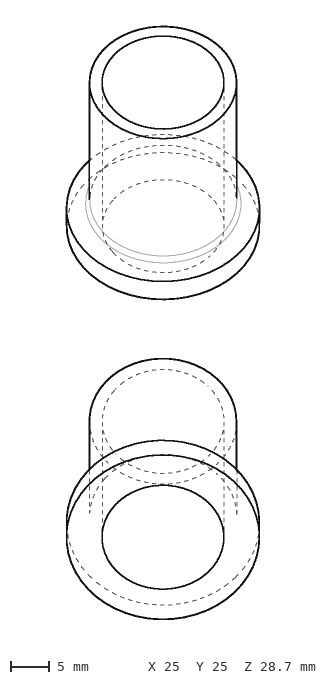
import cadquery as cq
import math

total_height = 28.7
flange_diameter = 25.0
tube_diameter = 19.05
bore_diameter = 15.78
rim_height = 3.62
cone_angle = math.radians(20)
fillet_radius = 0.8

flange_radius = flange_diameter / 2
tube_radius = tube_diameter / 2
bore_radius = bore_diameter / 2


def height_on_cone(radius):
    """Height of the sloped flange top at a given distance from the axis."""
    return rim_height + (flange_radius - radius) * math.tan(cone_angle)


fillet_center_radius = tube_radius + fillet_radius
cone_tangent_radius = fillet_center_radius - fillet_radius * math.sin(cone_angle)
cone_tangent_height = height_on_cone(cone_tangent_radius)
fillet_center_height = cone_tangent_height + fillet_radius * math.cos(cone_angle)

middle_angle = (math.pi / 2 - cone_angle) / 2
fillet_middle = (
    fillet_center_radius - fillet_radius * math.cos(middle_angle),
    fillet_center_height - fillet_radius * math.sin(middle_angle),
)

half_section = (
    cq.Workplane("XZ")
    .moveTo(bore_radius, 0)
    .lineTo(flange_radius, 0)
    .lineTo(flange_radius, rim_height)
    .lineTo(cone_tangent_radius, cone_tangent_height)
    .threePointArc(fillet_middle, (tube_radius, fillet_center_height))
    .lineTo(tube_radius, total_height)
    .lineTo(bore_radius, total_height)
    .close()
)

result = half_section.revolve(360, (0, 0, 0), (0, 1, 0))